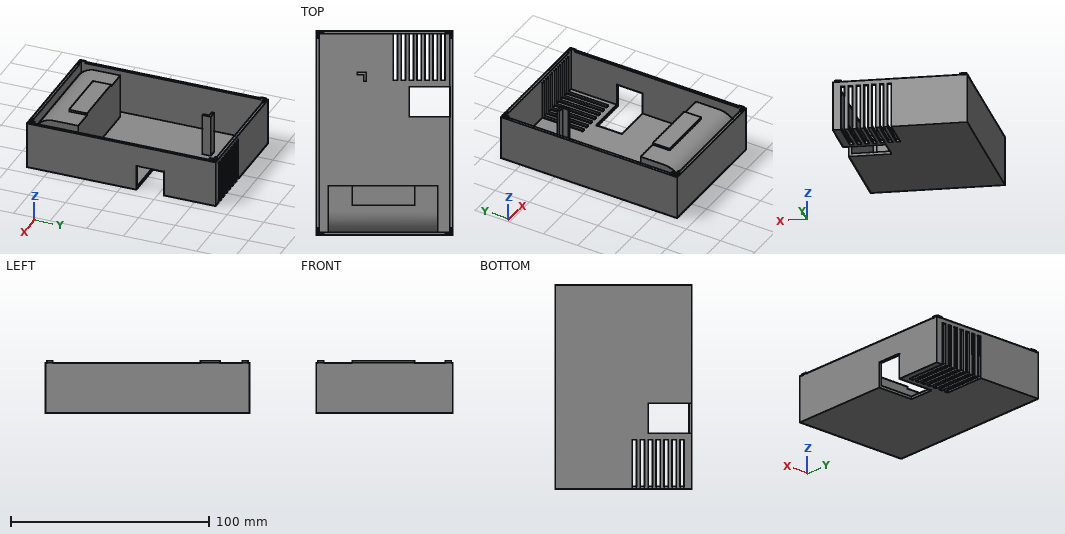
import cadquery as cq
import math

length_x = 69.0
length_y = 103.0
total_height = 26.5
tab_height = 1.0
tab_thickness = 0.75
wall = 2 * tab_thickness
floor = wall
tray_height = total_height - tab_height

outer_x = length_x / 2
outer_y = length_y / 2
inner_x = outer_x - wall
inner_y = outer_y - wall

tab_length_x = 3.2
tab_length_y = 3.0

slot_count = 7
slots_start_x = 4.5
slots_span = 26.0
slot_width = slots_span / (2 * slot_count - 1)
slot_pitch = 2 * slot_width
slots_start_y = 26.7
slots_top = 23.0

window_start_x = 12.6
window_start_y = 8.2
window_width = 15.0
window_top = 13.9

post_corner_x = -9.2
post_corner_y = 30.7
post_arm = 4.5
post_thickness = 1.2
post_top = 24.2

compartment_width = 55.2
compartment_center_x = -0.8
compartment_back_y = -26.7
shoulder_start_y = -40.2
shoulder_radius = 11.2
compartment_top = tray_height

plate_width = 31.5
plate_center_x = -0.6
plate_depth = 9.9


def box(x_min, x_max, y_min, y_max, z_min, z_max):
    """Axis-aligned block between the given limits."""
    size = (x_max - x_min, y_max - y_min, z_max - z_min)
    return cq.Workplane("XY").box(*size, centered=False).translate((x_min, y_min, z_min))


def angle_column(corner_x, corner_y, arm_x, arm_y, thickness, z_min, z_max):
    """Upright L-section; its signed arms run away from the given outer corner."""
    step_x = math.copysign(thickness, arm_x)
    step_y = math.copysign(thickness, arm_y)
    outline = [(0, 0), (arm_x, 0), (arm_x, step_y), (step_x, step_y), (step_x, arm_y), (0, arm_y)]
    base = cq.Workplane("XY", origin=(corner_x, corner_y, z_min))
    return base.polyline(outline).close().extrude(z_max - z_min)


def tray():
    shell = box(-outer_x, outer_x, -outer_y, outer_y, 0, tray_height)
    cavity = box(-inner_x, inner_x, -inner_y, inner_y, floor, tray_height)
    return shell.cut(cavity)


def corner_tab(side_x, side_y):
    """Locating tab at the corner on the given sides (-1 or 1)."""
    return angle_column(
        side_x * (inner_x + tab_thickness),
        side_y * (inner_y + tab_thickness),
        -side_x * tab_length_x,
        -side_y * tab_length_y,
        tab_thickness,
        tray_height,
        total_height,
    )


def vent_slot(index):
    start_x = slots_start_x + index * slot_pitch
    return box(start_x, start_x + slot_width, slots_start_y, outer_y, 0, slots_top)


def window():
    end_y = window_start_y + window_width
    return box(window_start_x, outer_x, window_start_y, end_y, 0, window_top)


def post():
    return angle_column(
        post_corner_x, post_corner_y, -post_arm, -post_arm, post_thickness, floor, post_top
    )


def compartment():
    """Block whose top curves down, tangent to the flat, until it meets the -Y wall."""
    sweep = math.asin((shoulder_start_y + inner_y) / shoulder_radius)

    def shoulder_point(turn):
        y = shoulder_start_y - shoulder_radius * math.sin(turn)
        z = compartment_top - shoulder_radius * (1 - math.cos(turn))
        return (y, z)

    return (
        cq.Workplane("YZ", origin=(compartment_center_x - compartment_width / 2, 0, 0))
        .moveTo(-inner_y, floor)
        .lineTo(compartment_back_y, floor)
        .lineTo(compartment_back_y, compartment_top)
        .lineTo(shoulder_start_y, compartment_top)
        .threePointArc(shoulder_point(sweep / 2), shoulder_point(sweep))
        .close()
        .extrude(compartment_width)
    )


def plate():
    start_x = plate_center_x - plate_width / 2
    start_y = compartment_back_y - plate_depth
    return box(
        start_x, start_x + plate_width, start_y, compartment_back_y, compartment_top, total_height
    )


result = tray()
for x_sign in (-1, 1):
    for y_sign in (-1, 1):
        result = result.union(corner_tab(x_sign, y_sign))
for slot in range(slot_count):
    result = result.cut(vent_slot(slot))
result = result.cut(window()).union(post()).union(compartment()).union(plate())